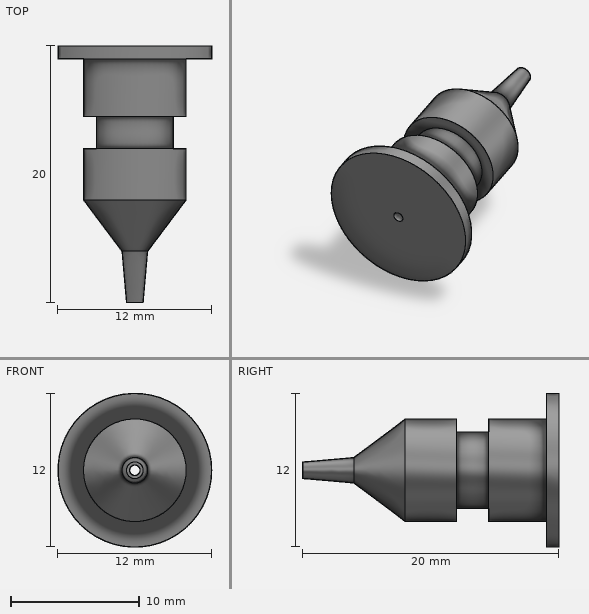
import cadquery as cq

tip_length = 4.0
cone_length = 4.0
front_body_length = 4.0
groove_width = 2.5
rear_body_length = 4.5
flange_thickness = 1.0

tip_end_diameter = 1.3
tip_base_diameter = 2.0
body_diameter = 8.0
groove_diameter = 6.0
flange_diameter = 12.0
bore_diameter = 0.8

cone_start = tip_length
body_start = cone_start + cone_length
groove_start = body_start + front_body_length
groove_end = groove_start + groove_width
flange_start = groove_end + rear_body_length
flange_end = flange_start + flange_thickness

half_section = [
    (bore_diameter / 2, 0),
    (tip_end_diameter / 2, 0),
    (tip_base_diameter / 2, cone_start),
    (body_diameter / 2, body_start),
    (body_diameter / 2, groove_start),
    (groove_diameter / 2, groove_start),
    (groove_diameter / 2, groove_end),
    (body_diameter / 2, groove_end),
    (body_diameter / 2, flange_start),
    (flange_diameter / 2, flange_start),
    (flange_diameter / 2, flange_end),
    (bore_diameter / 2, flange_end),
]

result = cq.Workplane("XY").polyline(half_section).close().revolve(360, (0, 0, 0), (0, 1, 0))